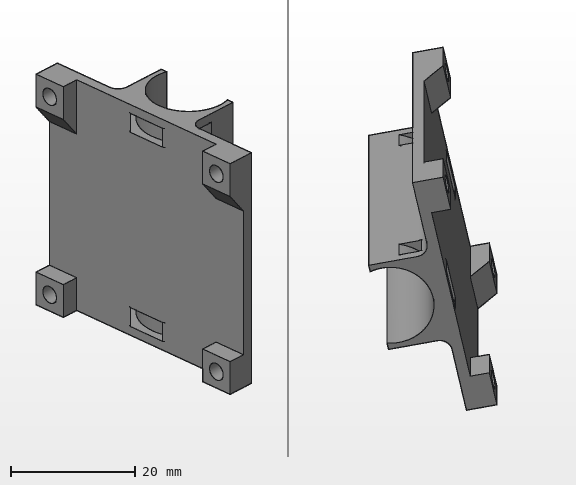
import cadquery as cq

width = 42.9
depth = 15.0
height = 42.5

plate_front = 3.15
plate_back = 5.0

pad_side = 6.05
pad_ramp_height = 3.95
hole_diameter = 3.0
hole_inset = pad_side / 2

cradle_half_width = 7.95
bore_radius = 7.0
bore_center_y = 13.05
root_fillet = 2.0

channel_inner_radius = 8.5
channel_outer_radius = 10.5
channel_height = 3.47
channel_edge_gap = 1.65

selection_margin = 0.45


def box(x_min, x_max, y_min, y_max, z_min, z_max):
    """Axis-aligned box between the given limits."""
    size = (x_max - x_min, y_max - y_min, z_max - z_min)
    return cq.Workplane("XY").box(*size, centered=False).translate((x_min, y_min, z_min))


def bore_cylinder(radius, z_min, length):
    """Cylinder along Z on the cradle axis."""
    return (
        cq.Workplane("XY", origin=(0, bore_center_y, z_min))
        .circle(radius)
        .extrude(length)
    )


def make_body():
    """Base plate and filleted cradle block with its open-backed bore."""
    half_width = width / 2
    bottom = -height / 2
    top = height / 2
    plate = box(-half_width, half_width, plate_front, plate_back, bottom, top)
    block = box(-cradle_half_width, cradle_half_width, plate_front, depth, bottom, top)
    root_y = (plate_front + depth) / 2
    near_root = cq.selectors.BoxSelector(
        (-cradle_half_width - selection_margin, plate_back - selection_margin, bottom - selection_margin),
        (cradle_half_width + selection_margin, root_y, top + selection_margin),
    )
    body = plate.union(block).edges("|Z").edges(near_root).fillet(root_fillet)

    return body.cut(bore_cylinder(bore_radius, bottom, height))


def make_pad(side, ramp_height):
    """Pad on one side (-1 or 1), with a ramp of the given height on its lower end."""
    top = height / 2
    pad_bottom = top - pad_side
    profile = [
        (0, top),
        (plate_back, top),
        (plate_back, pad_bottom - ramp_height),
        (plate_front, pad_bottom - ramp_height),
        (0, pad_bottom),
    ]
    pad_center_x = side * (width - pad_side) / 2
    return (
        cq.Workplane("YZ", origin=(pad_center_x - pad_side / 2, 0, 0))
        .polyline(profile)
        .close()
        .extrude(pad_side)
    )


def make_channel(z_min):
    """Ring-shaped strap channel passing round the plate side of the bore."""
    outer = bore_cylinder(channel_outer_radius, z_min, channel_height)
    inner = bore_cylinder(channel_inner_radius, z_min, channel_height)
    return outer.cut(inner)


def make_holes():
    """Four mounting holes through the corner pads along Y."""
    return (
        cq.Workplane("XZ")
        .rect(width - 2 * hole_inset, height - 2 * hole_inset, forConstruction=True)
        .vertices()
        .circle(hole_diameter / 2)
        .extrude(-depth)
    )


result = make_body()

for side in (-1, 1):
    result = result.union(make_pad(side, pad_ramp_height))
    result = result.union(make_pad(side, 0).mirror("XY"))

upper_channel_z = height / 2 - channel_edge_gap - channel_height
lower_channel_z = -height / 2 + channel_edge_gap
for channel_z in (lower_channel_z, upper_channel_z):
    result = result.cut(make_channel(channel_z))

result = result.cut(make_holes())